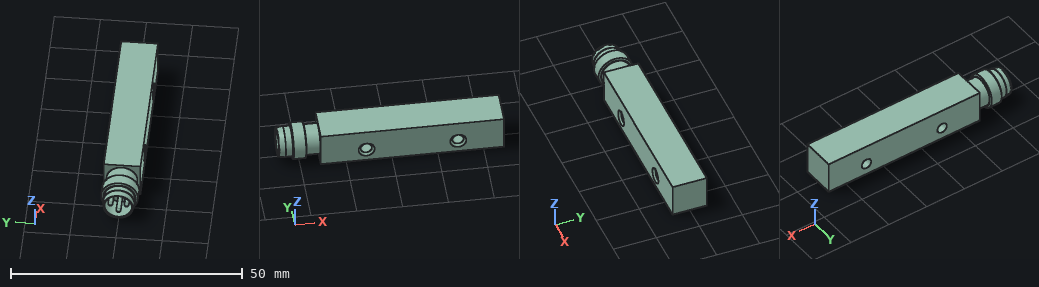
import cadquery as cq
import math

total_length = 49.0
body_length = 40.0
body_side = 8.0
body_face_x = total_length - body_length

hole_diameter = 2.46
countersink_diameter = 3.5
countersink_angle = 90.0
hole_pitch = 20.0
first_hole_x = body_face_x + 10.0
hole_z = -1.0

neck_diameter = 6.7
tip_diameter = 6.35
nose_length = 1.5
lip_diameter = 6.9
collar_diameter = 8.0
collar_start_x = 3.0
collar_length = 3.0
collar_chamfer_length = 0.18
collar_chamfer_height = 0.5

socket_diameter = 5.9
socket_depth = 5.0
socket_mouth_diameter = 6.2

pin_diameter = 1.0
pin_circle_radius = 1.75
pin_angles = (0.0, 180.0, 270.0)
pin_tip_x = 0.5


def make_body():
    """Square bar behind the plug."""
    body = cq.Workplane("XY").box(body_length, body_side, body_side)
    return body.translate((body_face_x + body_length / 2, 0, 0))


def make_mounting_hole(x):
    """Through hole along Y, as a revolved cutter with a cone at the -Y face."""
    bore_radius = hole_diameter / 2
    sink_radius = countersink_diameter / 2
    sink_depth = (sink_radius - bore_radius) / math.tan(math.radians(countersink_angle / 2))
    face_y = body_side / 2
    return (
        cq.Workplane("XY")
        .moveTo(0, -face_y)
        .lineTo(sink_radius, -face_y)
        .lineTo(bore_radius, -face_y + sink_depth)
        .lineTo(bore_radius, face_y)
        .lineTo(0, face_y)
        .close()
        .revolve(360, (0, 0, 0), (0, 1, 0))
        .translate((x, 0, hole_z))
    )


def make_plug():
    """Tapered nose with a small lip, collar and neck turned about X."""
    neck_radius = neck_diameter / 2
    collar_radius = collar_diameter / 2
    chamfer_radius = collar_radius - collar_chamfer_height
    collar_end_x = collar_start_x + collar_length
    return (
        cq.Workplane("XY")
        .moveTo(0, 0)
        .lineTo(0, tip_diameter / 2)
        .lineTo(nose_length, lip_diameter / 2)
        .lineTo(nose_length, neck_radius)
        .lineTo(collar_start_x, neck_radius)
        .lineTo(collar_start_x, chamfer_radius)
        .lineTo(collar_start_x + collar_chamfer_length, collar_radius)
        .lineTo(collar_end_x - collar_chamfer_length, collar_radius)
        .lineTo(collar_end_x, chamfer_radius)
        .lineTo(collar_end_x, neck_radius)
        .lineTo(body_face_x, neck_radius)
        .lineTo(body_face_x, 0)
        .close()
        .revolve(360, (0, 0, 0), (1, 0, 0))
    )


def make_socket():
    """Round pocket with a 45 degree chamfer at its mouth."""
    socket_radius = socket_diameter / 2
    mouth_radius = socket_mouth_diameter / 2
    return (
        cq.Workplane("XY")
        .moveTo(0, 0)
        .lineTo(0, mouth_radius)
        .lineTo(mouth_radius - socket_radius, socket_radius)
        .lineTo(socket_depth, socket_radius)
        .lineTo(socket_depth, 0)
        .close()
        .revolve(360, (0, 0, 0), (1, 0, 0))
    )


def make_pin(angle):
    """Contact pin standing on the socket floor."""
    y = pin_circle_radius * math.cos(math.radians(angle))
    z = pin_circle_radius * math.sin(math.radians(angle))
    dome_center_x = pin_tip_x + pin_diameter / 2
    shaft = (
        cq.Workplane("YZ", origin=(dome_center_x, y, z))
        .circle(pin_diameter / 2)
        .extrude(socket_depth - dome_center_x)
    )
    dome = cq.Workplane("XY").sphere(pin_diameter / 2).translate((dome_center_x, y, z))
    return shaft.union(dome)


result = make_body().union(make_plug())
result = result.cut(make_socket())

for pin_angle in pin_angles:
    result = result.union(make_pin(pin_angle))

for hole_x in (first_hole_x, first_hole_x + hole_pitch):
    result = result.cut(make_mounting_hole(hole_x))